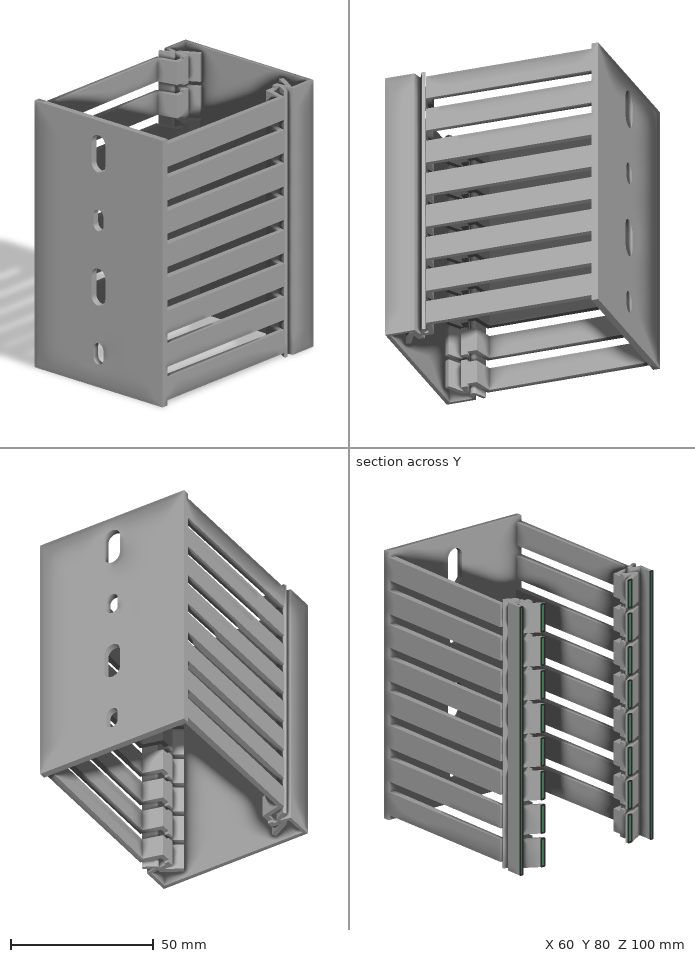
import cadquery as cq
import math


WIDTH = 60.0
HEIGHT = 80.0
LENGTH = 100.0
HALF_WIDTH = WIDTH / 2
BOTTOM_Y = -HEIGHT / 2
TOP_Y = HEIGHT / 2

BASE_THICKNESS = 2.5
BASE_TOP_Y = BOTTOM_Y + BASE_THICKNESS
LONG_SLOT = (6.4, 14.0)
SHORT_SLOT = (4.6, 8.0)
MOUNTING_SLOTS = [SHORT_SLOT, LONG_SLOT, SHORT_SLOT, LONG_SLOT]

FINGER_COUNT = 8
FINGER_WIDTH = 8.5
FINGER_ROOT_THICKNESS = 2.6
CLIP_THICKNESS = 1.8
SHOULDER_Y = 24.7
SHOULDER_SLOPE = 0.25
NECK_X = 20.7

CLIP_WIDTH = 10.5
CLIP_START_Y = 28.7
CLIP_CORNER_Y = 31.1
CLIP_FOLD = (24.1, 31.5)
CLIP_ARM_ANGLE = 30.0
CLIP_ARM_LENGTH = 6.7
CLIP_NOSE_RADIUS = 1.5

COVER_TOP_THICKNESS = 1.5
COVER_SIDE_THICKNESS = 1.3
COVER_SIDE_END_Y = 29.0
COVER_FOLD = (26.0, 28.3)
COVER_ARM_END_Y = 26.2


def left_offset(path, distance):
    """Return the mitred parallel of an open path, lying at `distance` on its left."""
    headings = [math.atan2(b[1] - a[1], b[0] - a[0]) for a, b in zip(path, path[1:])]
    before = headings[:1] + headings
    after = headings + headings[-1:]
    parallel = []
    for (x, y), angle_in, angle_out in zip(path, before, after):
        normal = (angle_in + angle_out + math.pi) / 2
        reach = distance / math.cos((angle_out - angle_in) / 2)
        parallel.append((x + reach * math.cos(normal), y + reach * math.sin(normal)))
    return parallel


def extrude_outline(points, length):
    """Extrude an XY outline along Z, centred on Z = 0."""
    return cq.Workplane("XY").polyline(points).close().extrude(length / 2, both=True)


def round_corner(body, point, radius):
    """Fillet the edge along Z that passes through an XY point."""
    return body.edges(cq.selectors.NearestToPointSelector((*point, 0))).fillet(radius)


def row_positions(count):
    """Return the Z centres of `count` equal shares of the duct's length."""
    pitch = LENGTH / count
    return [(index - (count - 1) / 2) * pitch for index in range(count)]


def make_clip():
    """The folded snap clip that tops a finger on the +X side."""
    fold_x, fold_y = CLIP_FOLD
    arm_angle = math.radians(CLIP_ARM_ANGLE)
    arm_end = (
        fold_x - CLIP_ARM_LENGTH * math.cos(arm_angle),
        fold_y + CLIP_ARM_LENGTH * math.sin(arm_angle),
    )
    inner = [(NECK_X, CLIP_START_Y), (NECK_X, CLIP_CORNER_Y), CLIP_FOLD, arm_end]
    outer = left_offset(inner[::-1], CLIP_THICKNESS)
    clip = extrude_outline(inner + outer, CLIP_WIDTH)
    return round_corner(clip, outer[1], CLIP_NOSE_RADIUS)


def make_finger():
    """One tapered finger of the +X side with its clip, centred on Z = 0."""
    neck_outer_x = NECK_X + CLIP_THICKNESS
    shoulder_inner_x = HALF_WIDTH - CLIP_THICKNESS
    shoulder_drop = CLIP_THICKNESS * math.hypot(1, SHOULDER_SLOPE)

    def shoulder_top(x):
        return SHOULDER_Y + SHOULDER_SLOPE * (HALF_WIDTH - x)

    outline = [
        (HALF_WIDTH, BASE_TOP_Y),
        (HALF_WIDTH, SHOULDER_Y),
        (neck_outer_x, shoulder_top(neck_outer_x)),
        (neck_outer_x, CLIP_START_Y),
        (NECK_X, CLIP_START_Y),
        (NECK_X, shoulder_top(NECK_X) - shoulder_drop),
        (shoulder_inner_x, shoulder_top(shoulder_inner_x) - shoulder_drop),
        (HALF_WIDTH - FINGER_ROOT_THICKNESS, BASE_TOP_Y),
    ]
    return extrude_outline(outline, FINGER_WIDTH).union(make_clip())


def cut_mounting_slots(tray):
    """Cut the row of alternating long and short slots along the base."""
    for (width, length), z in zip(MOUNTING_SLOTS, row_positions(len(MOUNTING_SLOTS))):
        slot = (
            cq.Workplane("XZ", origin=(0, BASE_TOP_Y, z))
            .slot2D(length, width, 90)
            .extrude(BASE_THICKNESS)
        )
        tray = tray.cut(slot)
    return tray


def make_tray():
    """The base with its mounting slots and a row of fingers along each side."""
    base = cq.Workplane("XY").box(WIDTH, BASE_THICKNESS, LENGTH)
    tray = cut_mounting_slots(base.translate((0, BOTTOM_Y + BASE_THICKNESS / 2, 0)))
    right_finger = make_finger()
    left_finger = right_finger.mirror("YZ")
    for z in row_positions(FINGER_COUNT):
        for finger in (right_finger, left_finger):
            tray = tray.union(finger.translate((0, 0, z)))
    return tray


def make_cover():
    """The channel-shaped cover, each side ending in a folded lip under the clips."""
    outer = [
        (HALF_WIDTH, COVER_ARM_END_Y),
        COVER_FOLD,
        (HALF_WIDTH, COVER_SIDE_END_Y),
        (HALF_WIDTH, TOP_Y),
    ]
    arm_end, nose, side_end, _ = left_offset(outer, COVER_SIDE_THICKNESS)
    top_corner = (HALF_WIDTH - COVER_SIDE_THICKNESS, TOP_Y - COVER_TOP_THICKNESS)
    right_half = [*outer[::-1], arm_end, nose, side_end, top_corner]
    left_half = [(-x, y) for x, y in right_half[::-1]]
    cover = extrude_outline(right_half + left_half, LENGTH)
    for nose_x in (nose[0], -nose[0]):
        cover = round_corner(cover, (nose_x, nose[1]), COVER_SIDE_THICKNESS)
    return cover


tray = make_tray()
cover = make_cover()
result = cq.Compound.makeCompound([tray.solids().val(), cover.solids().val()])